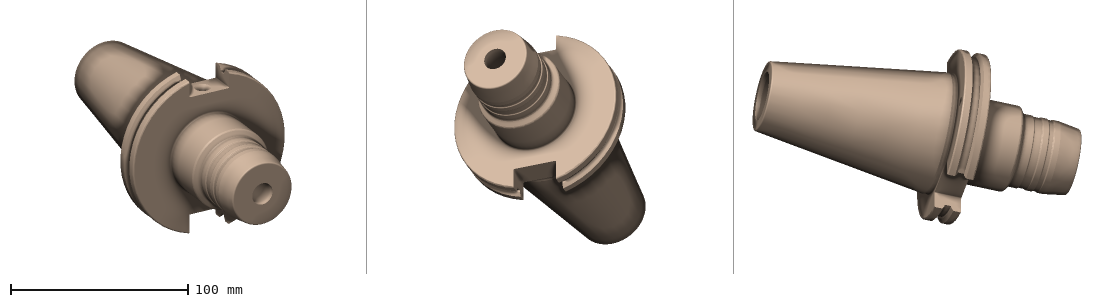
import cadquery as cq
import math

overall_length = 182.1

gauge_x = 101.6
gauge_radius = 70.0 / 2
taper_slope = 7 / 48
taper_end_radius = gauge_radius - taper_slope * gauge_x
taper_rim_fillet = 1.0
shank_neck_radius = 69.2 / 2
shank_neck_x = 102.7
shank_neck_fillet = 0.5

flange_x = 104.9
flange_width = 15.7
flange_end_x = flange_x + flange_width
flange_radius = 98.2 / 2
flange_fillet = 1.0
groove_x = 112.7
groove_depth = 3.5
groove_half_width = 3.3
groove_floor_half_width = 3.8 / 2
groove_flank_angle = 30.0
groove_flank_width = groove_half_width - groove_floor_half_width
groove_flank_depth = groove_flank_width / math.tan(math.radians(groove_flank_angle))

collar_radius = 49.5 / 2
collar_fillet = 1.0
collar_end_x = 145.7
shoulder_end_x = 148.2
shoulder_outer_fillet = 1.5
shoulder_inner_fillet = 1.1
nose_radius = 42.0 / 2
nose_taper_x = 169.2
nose_end_radius = 38.0 / 2
nose_end_fillet = 1.0

nose_groove_spans = [(153.7, 159.0), (162.5, 165.7)]
nose_groove_radius = 41.0 / 2
nose_groove_wall = 0.4
nose_groove_fillet = 0.45

drill_point_angle = 118.0

mouth_radius = 28.2 / 2
mouth_depth = 2.2
pilot_radius = 26.2 / 2
pilot_depth = 7.0
shank_bore_radius = 21.5 / 2
shank_bore_depth = 54.6
bore_cone_radius = 17.0 / 2
bore_cone_length = (shank_bore_radius - bore_cone_radius) / math.tan(math.radians(drill_point_angle / 2))
bore_cone_end = shank_bore_depth + bore_cone_length
through_radius = 13.1 / 2

slot_width = 25.7
upper_slot_floor = 37.7
lower_slot_floor = 35.3
slot_fillet = 0.5

spot_diameter = 9.5

port_diameter = 5.0
port_depth = 2.5
port_drill_diameter = 4.2
port_drill_depth = 9.1
port_circle_radius = 42.0
port_angle = 20.0
port_tilt = 33.0


def revolve_about_x(points):
    return cq.Workplane("XY").polyline(points).close().revolve(360, (0, 0, 0), (1, 0, 0))


def fillet_circle(body, x, radius, fillet):
    """Round the full circular edge that has the given place and radius."""
    margin = 0.04
    reach = radius + margin
    box = cq.selectors.BoxSelector(
        (x - margin, -reach, -reach), (x + margin, reach, reach), boundingbox=True
    )
    smaller = radius - margin
    inner = cq.selectors.BoxSelector(
        (x - margin, -smaller, -smaller), (x + margin, smaller, smaller), boundingbox=True
    )
    return body.edges(box - inner).fillet(fillet)


def make_body():
    body = revolve_about_x(
        [
            (0, 0),
            (0, taper_end_radius),
            (gauge_x, gauge_radius),
            (shank_neck_x, shank_neck_radius),
            (flange_x, shank_neck_radius),
            (flange_x, flange_radius),
            (flange_end_x, flange_radius),
            (flange_end_x, collar_radius),
            (collar_end_x, collar_radius),
            (shoulder_end_x, nose_radius),
            (nose_taper_x, nose_radius),
            (overall_length, nose_end_radius),
            (overall_length, 0),
        ]
    )
    body = fillet_circle(body, 0, taper_end_radius, taper_rim_fillet)
    body = fillet_circle(body, flange_x, flange_radius, flange_fillet)
    body = fillet_circle(body, flange_end_x, flange_radius, flange_fillet)
    body = fillet_circle(body, flange_x, shank_neck_radius, shank_neck_fillet)
    body = fillet_circle(body, flange_end_x, collar_radius, collar_fillet)
    body = fillet_circle(body, collar_end_x, collar_radius, shoulder_outer_fillet)
    body = fillet_circle(body, shoulder_end_x, nose_radius, shoulder_inner_fillet)
    return fillet_circle(body, overall_length, nose_end_radius, nose_end_fillet)


def make_flange_groove():
    flank_radius = flange_radius - groove_flank_depth
    floor_radius = flange_radius - groove_depth
    return revolve_about_x(
        [
            (groove_x - groove_half_width, flange_radius),
            (groove_x - groove_floor_half_width, flank_radius),
            (groove_x - groove_floor_half_width, floor_radius),
            (groove_x + groove_floor_half_width, floor_radius),
            (groove_x + groove_floor_half_width, flank_radius),
            (groove_x + groove_half_width, flange_radius),
        ]
    )


def cut_nose_groove(body, start_x, end_x):
    """Cut a shallow ring groove and round both edges of its sloping walls."""
    groove = revolve_about_x(
        [
            (start_x, nose_radius),
            (start_x + nose_groove_wall, nose_groove_radius),
            (end_x - nose_groove_wall, nose_groove_radius),
            (end_x, nose_radius),
        ]
    )
    body = body.cut(groove)
    for edge_x in (start_x, end_x):
        body = fillet_circle(body, edge_x, nose_radius, nose_groove_fillet)
    for edge_x in (start_x + nose_groove_wall, end_x - nose_groove_wall):
        body = fillet_circle(body, edge_x, nose_groove_radius, nose_groove_fillet)
    return body


def make_bore():
    return revolve_about_x(
        [
            (0, 0),
            (0, mouth_radius),
            (mouth_depth, pilot_radius),
            (pilot_depth, pilot_radius),
            (pilot_depth, shank_bore_radius),
            (shank_bore_depth, shank_bore_radius),
            (bore_cone_end, bore_cone_radius),
            (bore_cone_end, through_radius),
            (overall_length, through_radius),
            (overall_length, 0),
        ]
    )


def make_slot(floor, side):
    """Slot across the flange, above the axis for side = 1 and below it for side = -1."""
    height = flange_radius - floor
    floor_side = "<Z" if side > 0 else ">Z"
    block = cq.Workplane("XY").box(flange_width, slot_width, height)
    block = block.faces(floor_side).edges("|X").fillet(slot_fillet)
    return block.translate((flange_x + flange_width / 2, 0, side * (floor + height / 2)))


def make_drill_spot():
    radius = spot_diameter / 2
    point_length = radius / math.tan(math.radians(drill_point_angle / 2))
    return (
        cq.Workplane("XZ", origin=(groove_x, 0, upper_slot_floor))
        .polyline([(0, 0), (radius, 0), (0, -point_length)])
        .close()
        .revolve(360, (0, 0, 0), (0, 1, 0))
    )


def make_port(angle):
    """Stepped drill hole that enters the back face of the flange and leans towards the axis."""
    tilt = math.radians(port_tilt)
    start = cq.Vector(flange_x, port_circle_radius, 0)
    direction = cq.Vector(math.cos(tilt), -math.sin(tilt), 0)
    lead = port_diameter
    mouth = cq.Solid.makeCylinder(port_diameter / 2, port_depth + lead, start - direction * lead, direction)
    drill = cq.Solid.makeCylinder(port_drill_diameter / 2, port_drill_depth, start, direction)
    return cq.Workplane(mouth.fuse(drill)).rotate((0, 0, 0), (1, 0, 0), angle)


result = make_body().cut(make_flange_groove())
for start_x, end_x in nose_groove_spans:
    result = cut_nose_groove(result, start_x, end_x)
result = result.cut(make_bore())
result = result.cut(make_slot(upper_slot_floor, 1)).cut(make_slot(lower_slot_floor, -1))
result = result.cut(make_drill_spot())
for angle in (port_angle, port_angle + 180):
    result = result.cut(make_port(angle))